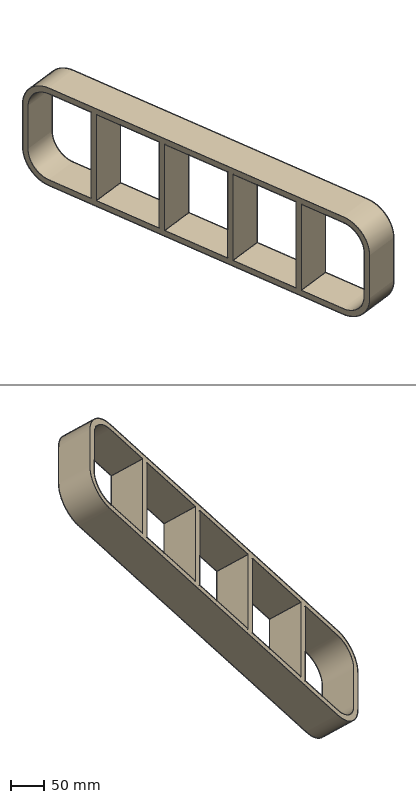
import cadquery as cq

length = 662.5
depth = 60.0
height = 179.5

wall = 10.5
corner_radius = 50.5
cell_count = 5

inner_length = length - 2 * wall
inner_height = height - 2 * wall
divider_count = cell_count - 1
cell_width = (inner_length - divider_count * wall) / cell_count
divider_pitch = cell_width + wall


def rounded_block(block_length, block_height, radius):
    """Block centred on the origin, with rounded corners running along Y."""
    return cq.Workplane("XY").box(block_length, depth, block_height).edges("|Y").fillet(radius)


outer = rounded_block(length, height, corner_radius)
opening = rounded_block(inner_length, inner_height, corner_radius - wall)
result = outer.cut(opening)

for index in range(divider_count):
    divider_x = (index - (divider_count - 1) / 2) * divider_pitch
    divider = cq.Workplane("XY").box(wall, depth, height - wall).translate((divider_x, 0, 0))
    result = result.union(divider)